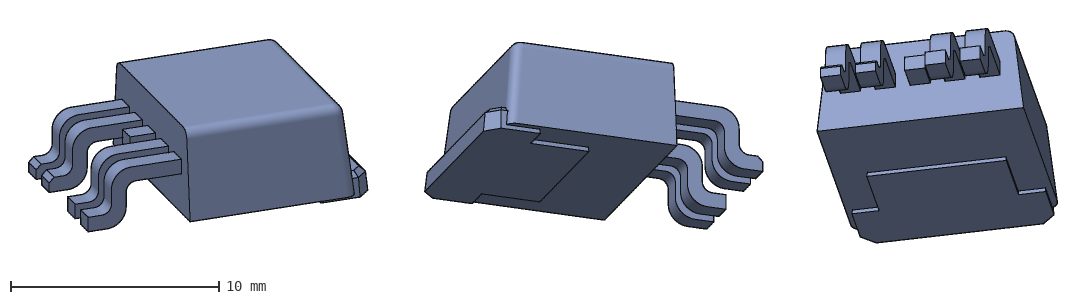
import cadquery as cq
import math

DRAFT = 6.0

BODY_WIDTH = 10.12
BODY_LENGTH = 8.62
BODY_BOTTOM = 0.23
BODY_TOP = 4.82
BODY_ROUND = 0.5

TAB_WIDTH = 9.5
TONGUE_WIDTH = 6.83
TAB_FRONT = 3.9
TAB_STEP = 6.87
TAB_BACK = 9.54
TAB_HEIGHT = 1.26
TAB_CORNER = 0.66
TAB_CHAMFER = 0.27

LEAD_WIDTH = 0.99
LEAD_PITCH = 1.71
LEAD_THICKNESS = 0.76
LEAD_TOP = 3.04
LEAD_REACH = 4.81
FOOT_LENGTH = 1.2
OUTER_BEND = 1.0
INNER_BEND = 0.5
TIP_CHAMFER = 0.26
STUB_LENGTH = 1.3


def make_tab():
    """Drafted T-shaped plate with cut back corners and a chamfered back rim."""
    half_width = TAB_WIDTH / 2
    half_tongue = TONGUE_WIDTH / 2
    outline = [
        (-half_tongue, TAB_FRONT),
        (half_tongue, TAB_FRONT),
        (half_tongue, TAB_STEP),
        (half_width, TAB_STEP),
        (half_width, TAB_BACK - TAB_CORNER),
        (half_width - TAB_CORNER, TAB_BACK),
        (TAB_CORNER - half_width, TAB_BACK),
        (-half_width, TAB_BACK - TAB_CORNER),
        (-half_width, TAB_STEP),
        (-half_tongue, TAB_STEP),
    ]
    plate = cq.Workplane("XY").polyline(outline).close().extrude(TAB_HEIGHT, taper=DRAFT)
    rim = cq.selectors.BoxSelector(
        (-TAB_WIDTH, TAB_STEP + TAB_CHAMFER, 0), (TAB_WIDTH, TAB_BACK, 2 * TAB_HEIGHT)
    )
    return plate.faces(">Z").edges(rim).chamfer(TAB_CHAMFER)


def make_body(tab):
    """Housing with drafted sides and back, rounded edges and a recess for the tab."""
    height = BODY_TOP - BODY_BOTTOM
    block = (
        cq.Workplane("XY")
        .workplane(offset=BODY_BOTTOM)
        .rect(BODY_WIDTH, 2 * BODY_LENGTH)
        .extrude(height, taper=DRAFT)
    )
    front_half = (
        cq.Workplane("XY")
        .workplane(offset=BODY_BOTTOM)
        .center(0, -BODY_LENGTH / 2)
        .rect(BODY_WIDTH, BODY_LENGTH)
        .extrude(height)
    )
    rounded = block.edges("not (#Z)").fillet(BODY_ROUND)
    rounded = rounded.faces(">Z").edges().fillet(BODY_ROUND)
    return rounded.cut(front_half).cut(tab)


def bend(path, center_y, center_z, radius, start, end):
    """Append a circular arc in the YZ plane, from the start angle to the end angle in degrees."""
    middle = math.radians((start + end) / 2)
    finish = math.radians(end)
    return path.threePointArc(
        (center_y + radius * math.cos(middle), center_z + radius * math.sin(middle)),
        (center_y + radius * math.cos(finish), center_z + radius * math.sin(finish)),
    )


def make_lead(center_x, chamfered):
    """Gull-wing lead; its outer bends are larger than its inner bends."""
    outer_face = FOOT_LENGTH - LEAD_REACH
    inner_face = outer_face + LEAD_THICKNESS
    underside = LEAD_TOP - LEAD_THICKNESS
    tip = -LEAD_REACH

    path = cq.Workplane("YZ", origin=(center_x, 0, 0)).moveTo(0, LEAD_TOP)
    path = path.lineTo(outer_face + OUTER_BEND, LEAD_TOP)
    path = bend(path, outer_face + OUTER_BEND, LEAD_TOP - OUTER_BEND, OUTER_BEND, 90, 180)
    path = path.lineTo(outer_face, LEAD_THICKNESS + INNER_BEND)
    path = bend(path, outer_face - INNER_BEND, LEAD_THICKNESS + INNER_BEND, INNER_BEND, 0, -90)
    path = path.lineTo(tip, LEAD_THICKNESS)
    path = path.lineTo(tip, 0)
    path = path.lineTo(inner_face - OUTER_BEND, 0)
    path = bend(path, inner_face - OUTER_BEND, OUTER_BEND, OUTER_BEND, -90, 0)
    path = path.lineTo(inner_face, underside - INNER_BEND)
    path = bend(path, inner_face + INNER_BEND, underside - INNER_BEND, INNER_BEND, 180, 90)
    path = path.lineTo(0, underside)
    lead = path.close().extrude(LEAD_WIDTH / 2, both=True)
    if chamfered:
        lead = lead.faces("<Y").edges(">Z").chamfer(TIP_CHAMFER)
    return lead


def make_stub():
    """Cropped middle lead."""
    return cq.Workplane("XY").box(
        LEAD_WIDTH, STUB_LENGTH, LEAD_THICKNESS, centered=(True, False, False)
    ).translate((0, -STUB_LENGTH, LEAD_TOP - LEAD_THICKNESS))


tab = make_tab()
body = make_body(tab)
stub = make_stub()

leads = []
for slot in (-2, -1, 1, 2):
    leads.append(make_lead(slot * LEAD_PITCH, chamfered=slot < 0))

result = cq.Compound.makeCompound(
    [body.val(), tab.val(), stub.val(), *[lead.val() for lead in leads]]
)